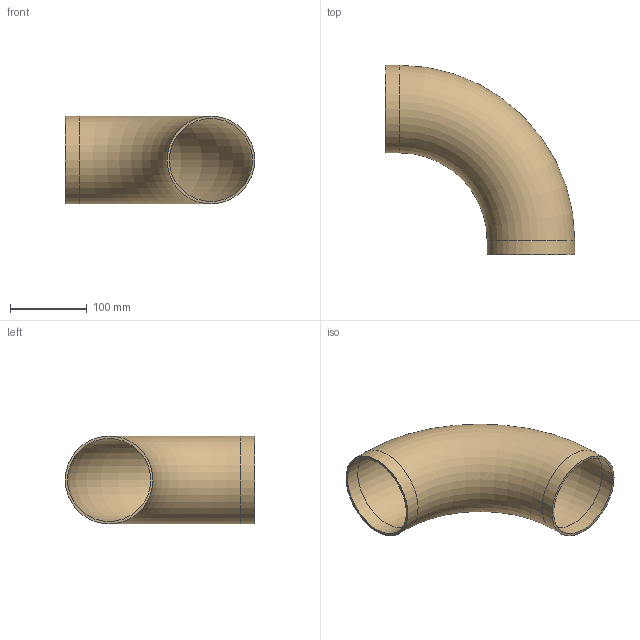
import cadquery as cq

outer_diameter = 114.3
wall = 3.0
end_to_axis = 190.0
bend_radius_ratio = 1.5
bend_angle = 90.0

inner_diameter = outer_diameter - 2 * wall
bend_radius = bend_radius_ratio * outer_diameter
collar_length = end_to_axis - bend_radius


def elbow(diameter):
    """Solid elbow bent about the Z axis, open ends facing -X and -Y."""
    radius = diameter / 2
    y_collar = (
        cq.Workplane("XZ")
        .center(bend_radius, 0)
        .circle(radius)
        .extrude(collar_length)
    )
    bend = (
        cq.Workplane("XZ")
        .center(bend_radius, 0)
        .circle(radius)
        .revolve(bend_angle, (-bend_radius, 0, 0), (-bend_radius, 1, 0))
    )
    x_collar = (
        cq.Workplane("YZ")
        .center(bend_radius, 0)
        .circle(radius)
        .extrude(-collar_length)
    )
    return bend.union(y_collar).union(x_collar)


result = elbow(outer_diameter).cut(elbow(inner_diameter))